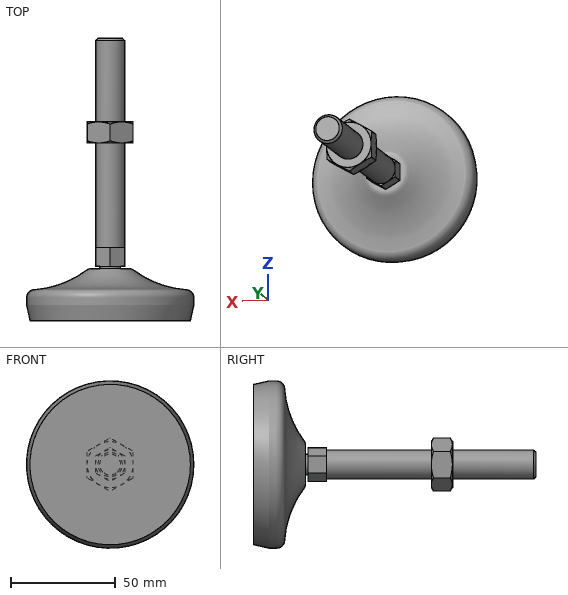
import cadquery as cq
import math


total_length = 135.0
stud_diameter = 14.0
stud_tip_chamfer = 1.2
neck_diameter = 10.0

foot_radius = 80.0 / 2
sole_radius = 38.3
taper_height = 7.5
rim_top = 15.0
rim_fillet = 4.0
foot_height = 25.0
crown_flat_radius = 9.0
crown_fillet = 4.0
crown_fillet_angle = 37.0
flank_arc_radius = 47.0

wrench_hex_flats = stud_diameter
wrench_hex_start = 26.0
wrench_hex_length = 9.0

nut_flats = 22.0
nut_start = 85.0
nut_height = 10.0
nut_chamfer_angle = 30.0
nut_collar_height = 0.25


def hex_corner_diameter(across_flats):
    """Diameter of the circle through the corners of a hexagon."""
    return across_flats / math.cos(math.radians(30))


def plane_at(y):
    """Plane square to the axis, facing +Y, with its local X along Z."""
    return cq.Plane(origin=(0, y, 0), xDir=(0, 0, 1), normal=(0, 1, 0))


def cylinder(diameter, start, end):
    return cq.Workplane(plane_at(start)).circle(diameter / 2).extrude(end - start)


def hexagon(across_flats, start, length):
    """Hexagonal prism with two of its flats facing -X and +X."""
    corners = hex_corner_diameter(across_flats)
    return cq.Workplane(plane_at(start)).polygon(6, corners).extrude(length)


def revolve_about_axis(profile):
    """Turn a closed (radius, Y) profile about the Y axis."""
    return profile.close().revolve(360, (0, 0, 0), (0, 1, 0))


def make_foot():
    """Round foot with a tapered rim and a concave flank up to a flat crown."""
    fillet_inner_radius = foot_radius - rim_fillet
    fillet_mid_offset = rim_fillet * math.sin(math.radians(45))
    fillet_centre_y = rim_top - rim_fillet
    fillet_middle = (fillet_inner_radius + fillet_mid_offset, fillet_centre_y + fillet_mid_offset)
    crown_angle = math.radians(crown_fillet_angle)
    crown_edge_radius = crown_flat_radius + crown_fillet * math.sin(crown_angle)
    crown_edge_height = foot_height - crown_fillet * (1 - math.cos(crown_angle))
    profile = (
        cq.Workplane("XY")
        .lineTo(sole_radius, 0)
        .lineTo(foot_radius, taper_height)
        .lineTo(foot_radius, fillet_centre_y)
        .threePointArc(fillet_middle, (fillet_inner_radius, rim_top))
        .radiusArc((crown_edge_radius, crown_edge_height), flank_arc_radius)
        .radiusArc((crown_flat_radius, foot_height), -crown_fillet)
        .lineTo(0, foot_height)
    )
    return revolve_about_axis(profile)


def make_stud():
    """Neck, wrench hexagon and round stud with a chamfered tip."""
    wrench_hex_end = wrench_hex_start + wrench_hex_length
    neck = cylinder(neck_diameter, foot_height, wrench_hex_start)
    wrench_hex = hexagon(wrench_hex_flats, wrench_hex_start, wrench_hex_length)
    rod = cylinder(stud_diameter, wrench_hex_end, total_length)
    rod = rod.faces(">Y").chamfer(stud_tip_chamfer)
    return neck.union(wrench_hex).union(rod)


def make_nut():
    """Hexagon nut with its corners turned off conically at both ends and a thin collar on its upper face."""
    nut_end = nut_start + nut_height
    corner_radius = hex_corner_diameter(nut_flats) / 2
    face_radius = nut_flats / 2
    chamfer_height = (corner_radius - face_radius) * math.tan(math.radians(nut_chamfer_angle))
    envelope = (
        cq.Workplane("XY")
        .moveTo(0, nut_start)
        .lineTo(face_radius, nut_start)
        .lineTo(corner_radius, nut_start + chamfer_height)
        .lineTo(corner_radius, nut_end - chamfer_height)
        .lineTo(face_radius, nut_end)
        .lineTo(0, nut_end)
    )
    body = hexagon(nut_flats, nut_start, nut_height).intersect(revolve_about_axis(envelope))
    collar = cylinder(nut_flats, nut_end, nut_end + nut_collar_height)
    return body.union(collar)


result = make_foot().union(make_stud()).union(make_nut())